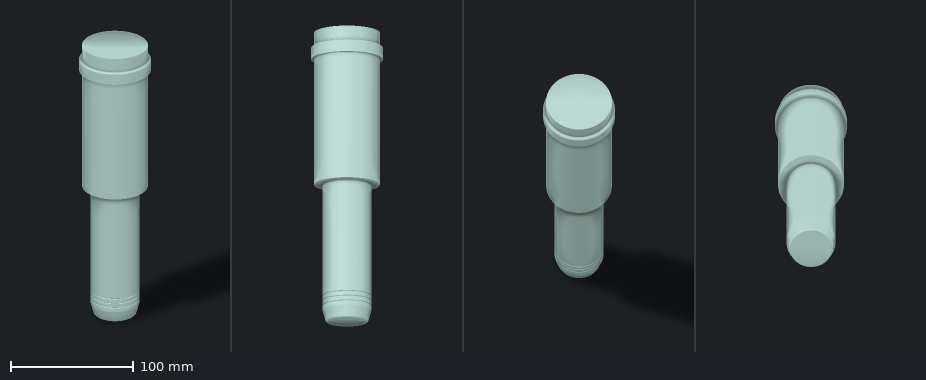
import cadquery as cq

total_length = 243.0
head_length = 12.0
collar_thickness = 10.2
body_bottom = 115.5
neck_height = 1.5
nose_length = 10.0

body_diameter = 54.0
collar_diameter = 59.0
pin_diameter = 40.0
body_radius = body_diameter / 2
collar_radius = collar_diameter / 2
pin_radius = pin_diameter / 2
neck_depth = 0.7
neck_radius = pin_radius - neck_depth
tip_radius = 17.5

relief_depth = 0.2
relief_height = 0.7

collar_chamfer = 1.0
tip_chamfer = 0.7

groove_width = 1.0
groove_depth = 0.5
first_groove_height = 13.5
groove_span = 8.0
groove_count = 3
groove_pitch = groove_span / (groove_count - 1)

collar_top = total_length - head_length
collar_bottom = collar_top - collar_thickness
relief_radius = body_radius - relief_depth


def stepped_post():
    """Revolve the half outline: radius along X, height along the axis."""
    outline = (
        cq.Workplane("XZ")
        .moveTo(0, 0)
        .lineTo(tip_radius - tip_chamfer, 0)
        .lineTo(tip_radius, tip_chamfer)
        .lineTo(pin_radius, nose_length)
        .lineTo(pin_radius, body_bottom - neck_height)
        .lineTo(neck_radius, body_bottom - neck_height)
        .lineTo(neck_radius, body_bottom)
        .lineTo(body_radius, body_bottom)
        .lineTo(body_radius, collar_bottom - relief_height)
        .lineTo(relief_radius, collar_bottom - relief_height)
        .lineTo(relief_radius, collar_bottom)
        .lineTo(collar_radius, collar_bottom)
        .lineTo(collar_radius, collar_top - collar_chamfer)
        .lineTo(collar_radius - collar_chamfer, collar_top)
        .lineTo(relief_radius, collar_top)
        .lineTo(relief_radius, collar_top + relief_height)
        .lineTo(body_radius, collar_top + relief_height)
        .lineTo(body_radius, total_length)
        .lineTo(0, total_length)
        .close()
    )
    return outline.revolve(360, (0, 0, 0), (0, 1, 0))


def ring_groove(height):
    """V-shaped ring cut into the pin, centred at the given height."""
    half_width = groove_width / 2
    section = (
        cq.Workplane("XZ")
        .moveTo(pin_radius, height - half_width)
        .lineTo(pin_radius - groove_depth, height)
        .lineTo(pin_radius, height + half_width)
        .close()
    )
    return section.revolve(360, (0, 0, 0), (0, 1, 0))


result = stepped_post()
for index in range(groove_count):
    result = result.cut(ring_groove(first_groove_height + index * groove_pitch))